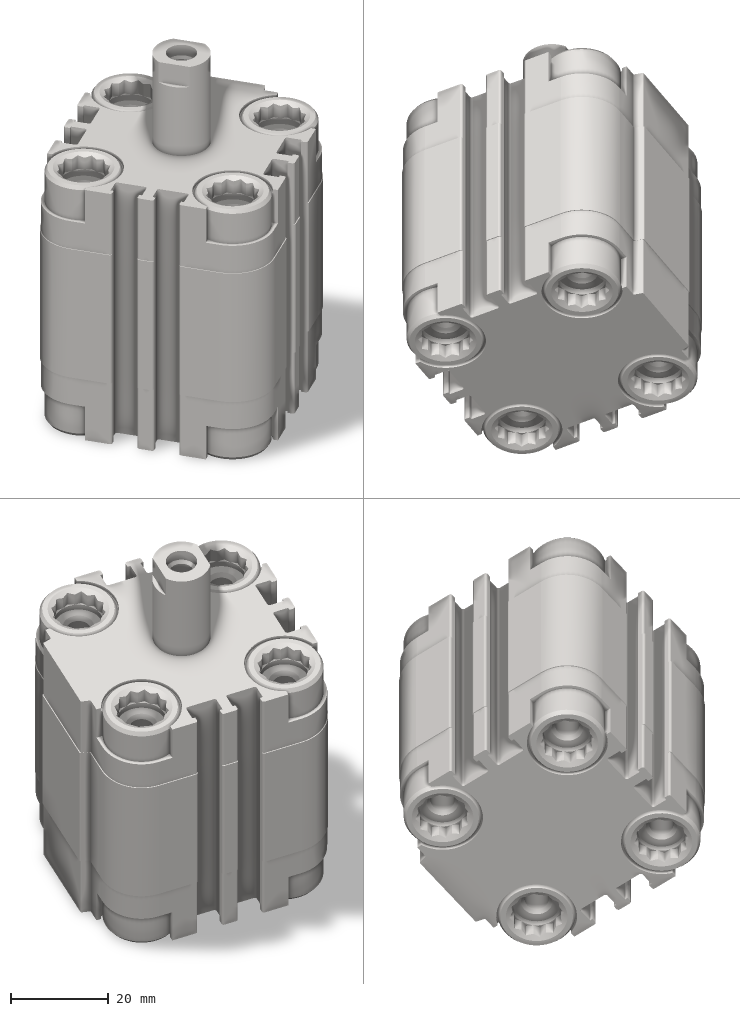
import cadquery as cq
import math


TUBE_WIDTH = 50.0
TUBE_HALF = TUBE_WIDTH / 2
COVER_INSET = 0.2
COVER_HALF = TUBE_HALF - COVER_INSET
HOUSING_HEIGHT = 59.5
COVER_HEIGHT = 14.5
TUBE_HEIGHT = HOUSING_HEIGHT - 2 * COVER_HEIGHT
SCREW_SPACING = 32.0
SCREW_OFFSET = SCREW_SPACING / 2
CORNER_CENTERS = [(sx * SCREW_OFFSET, sy * SCREW_OFFSET) for sx in (-1, 1) for sy in (-1, 1)]

RIB_WIDTH = 19.15
RIB_HEIGHT = 2.0
RIB_TAPER = 0.5
RIB_RADIUS = 0.3

SLOT_CENTER = 4.5
SLOT_INNER_WIDTH = 6.8
SLOT_MOUTH_WIDTH = 5.5
SLOT_DEPTH = 5.1
SLOT_LIP = 1.6
SLOT_RADIUS = 0.5
SLOT_FLOOR = TUBE_HALF - SLOT_DEPTH
SLOT_LIP_BACK = TUBE_HALF - SLOT_LIP
SLOT_SIDE_ANGLES = (0, 90, -90)

BOSS_DIAMETER = 16.0
BOSS_RADIUS = BOSS_DIAMETER / 2
BOSS_HEIGHT = 8.0
BOSS_CHAMFER_WIDTH = 0.6
BOSS_CHAMFER_HEIGHT = 0.8
GROOVE_DIAMETER = 16.6
GROOVE_RADIUS = GROOVE_DIAMETER / 2
RECESS_WIDTH = 12.0
RECESS_INNER = TUBE_HALF - RECESS_WIDTH

SOCKET_RIM_RADIUS = 12.6 / 2
SOCKET_POINTS = 12
SOCKET_BORE_RADIUS = 10.1 / 2
SOCKET_TIP_RADIUS = SOCKET_BORE_RADIUS * math.cos(math.pi / 12) / math.cos(math.pi / 6)
SOCKET_LEAD_IN = 0.7
SOCKET_POINT_DEPTH = 3.6
SOCKET_DEPTH = 5.0
SCREW_HOLE_DIAMETER = 4.9
SCREW_HOLE_RIM_DIAMETER = 6.4
SCREW_HOLE_COUNTERSINK = 0.8

ROD_DIAMETER = 12.0
TOTAL_HEIGHT = 80.5
ROD_BOTTOM = HOUSING_HEIGHT - COVER_HEIGHT
ROD_LENGTH = TOTAL_HEIGHT - ROD_BOTTOM
FLATS_WIDTH = 10.0
FLATS_HEIGHT = 4.75
ROD_RECESS_DIAMETER = 6.4
ROD_RECESS_DEPTH = 2.5
ROD_HOLE_DIAMETER = 4.9
ROD_HOLE_DEPTH = 16.1
LEAD_IN_ANGLE = 120.0
DRILL_POINT_ANGLE = 118.0


def cone_height(large_diameter, small_diameter, full_angle):
    return (large_diameter - small_diameter) / 2 / math.tan(math.radians(full_angle / 2))


def turned(profile):
    """Revolve a closed (radius, height) outline about the Z axis."""
    return cq.Workplane("XZ").polyline(profile).close().revolve(360, (0, 0, 0), (0, 1, 0))


def slot_cutter(half_width, height):
    """T-slot through the -Y side, with a rounded floor and rounded lips at the outer face."""
    inner = SLOT_INNER_WIDTH / 2
    mouth = SLOT_MOUTH_WIDTH / 2
    r = SLOT_RADIUS
    return (
        cq.Workplane("XY")
        .moveTo(-inner + r, -SLOT_FLOOR)
        .lineTo(inner - r, -SLOT_FLOOR)
        .radiusArc((inner, -SLOT_FLOOR - r), r)
        .lineTo(inner, -SLOT_LIP_BACK)
        .lineTo(mouth, -SLOT_LIP_BACK)
        .lineTo(mouth, -half_width + r)
        .radiusArc((mouth + r, -half_width), -r)
        .lineTo(-mouth - r, -half_width)
        .radiusArc((-mouth, -half_width + r), -r)
        .lineTo(-mouth, -SLOT_LIP_BACK)
        .lineTo(-inner, -SLOT_LIP_BACK)
        .lineTo(-inner, -SLOT_FLOOR - r)
        .radiusArc((-inner + r, -SLOT_FLOOR), r)
        .close()
        .extrude(height)
    )


def rib(half_width, height):
    """Tapered rib standing on the +Y side, rounded along its top edges."""
    half_top = RIB_WIDTH / 2
    half_root = half_top + RIB_TAPER
    top = half_width + RIB_HEIGHT
    return (
        cq.Workplane("XY")
        .polyline(
            [
                (-half_root, 0),
                (half_root, 0),
                (half_root, half_width),
                (half_top, top),
                (-half_top, top),
                (-half_root, half_width),
            ]
        )
        .close()
        .extrude(height)
        .edges("|Z and >Y")
        .fillet(RIB_RADIUS)
    )


def profile_bar(half_width, height):
    """Length of the housing profile with filleted rib roots, standing on the XY plane."""
    bar = (
        cq.Workplane("XY")
        .rect(2 * half_width, 2 * half_width)
        .extrude(height)
        .edges("|Z")
        .fillet(half_width - SCREW_OFFSET)
        .union(rib(half_width, height))
    )
    rib_root = (RIB_WIDTH / 2 + RIB_TAPER, half_width, height / 2)
    mirrored_root = (-rib_root[0], rib_root[1], rib_root[2])
    for point in (rib_root, mirrored_root):
        bar = bar.edges(cq.NearestToPointSelector(point)).fillet(RIB_RADIUS)
    cutter = slot_cutter(half_width, height)
    for angle in SLOT_SIDE_ANGLES:
        for offset in (-SLOT_CENTER, SLOT_CENTER):
            slot = cutter.translate((offset, 0, 0)).rotate((0, 0, 0), (0, 0, 1), angle)
            bar = bar.cut(slot)
    return bar


def corner_recess(x, y):
    """Clears the outer corner around a boss; z = 0 is the cover's outer face."""
    middle = (RECESS_INNER + TUBE_HALF) / 2
    block = (
        cq.Workplane("XY")
        .center(math.copysign(middle, x), math.copysign(middle, y))
        .rect(RECESS_WIDTH, RECESS_WIDTH)
        .extrude(-BOSS_HEIGHT)
    )
    boss = cq.Workplane("XY").center(x, y).circle(BOSS_RADIUS).extrude(-BOSS_HEIGHT)
    return block.cut(boss)


def rim_groove():
    """Ring that chamfers the top edge of a boss and clears the cover around the chamfer."""
    return turned(
        [
            (BOSS_RADIUS - BOSS_CHAMFER_WIDTH, 0),
            (GROOVE_RADIUS, 0),
            (GROOVE_RADIUS, -BOSS_CHAMFER_HEIGHT),
            (BOSS_RADIUS, -BOSS_CHAMFER_HEIGHT),
        ]
    )


def screw_socket():
    """Conical lead-in, twelve-point recess, round bore and countersink of one boss."""
    lead_in = turned(
        [
            (0, 0),
            (SOCKET_RIM_RADIUS, 0),
            (SOCKET_BORE_RADIUS, -SOCKET_LEAD_IN),
            (0, -SOCKET_LEAD_IN),
        ]
    )
    hexagon = (
        cq.Workplane("XY")
        .workplane(offset=-SOCKET_POINT_DEPTH)
        .polygon(SOCKET_POINTS // 2, 2 * SOCKET_TIP_RADIUS)
        .extrude(SOCKET_POINT_DEPTH)
    )
    points = hexagon.union(hexagon.rotate((0, 0, 0), (0, 0, 1), 360 / SOCKET_POINTS))
    bore = turned(
        [
            (0, 0),
            (SOCKET_BORE_RADIUS, 0),
            (SOCKET_BORE_RADIUS, -SOCKET_DEPTH),
            (SCREW_HOLE_RIM_DIAMETER / 2, -SOCKET_DEPTH),
            (SCREW_HOLE_DIAMETER / 2, -SOCKET_DEPTH - SCREW_HOLE_COUNTERSINK),
            (0, -SOCKET_DEPTH - SCREW_HOLE_COUNTERSINK),
        ]
    )
    return lead_in.union(points).union(bore)


def make_cover():
    """End length of the housing with its corner bosses, outer face up at z = 0."""
    cover = profile_bar(COVER_HALF, COVER_HEIGHT).translate((0, 0, -COVER_HEIGHT))
    groove = rim_groove()
    socket = screw_socket()
    for x, y in CORNER_CENTERS:
        cover = cover.cut(corner_recess(x, y))
        cover = cover.cut(groove.translate((x, y, 0)))
        cover = cover.cut(socket.translate((x, y, 0)))
    return cover


def make_housing():
    """One solid: tube length between two mirrored cover lengths, drilled for screws and rod."""
    cover = make_cover()
    top_cover = cover.translate((0, 0, HOUSING_HEIGHT))
    bottom_cover = cover.mirror("XY")
    tube = profile_bar(TUBE_HALF, TUBE_HEIGHT).translate((0, 0, COVER_HEIGHT))
    screw_holes = (
        cq.Workplane("XY")
        .pushPoints(CORNER_CENTERS)
        .circle(SCREW_HOLE_DIAMETER / 2)
        .extrude(HOUSING_HEIGHT)
    )
    rod_bore = (
        cq.Workplane("XY").workplane(offset=ROD_BOTTOM).circle(ROD_DIAMETER / 2).extrude(COVER_HEIGHT)
    )
    return tube.union(top_cover).union(bottom_cover).cut(screw_holes).cut(rod_bore)


def rod_end_hole():
    """Recessed, conically led-in blind hole with a drill point, opening at z = 0."""
    lead_in = cone_height(ROD_RECESS_DIAMETER, ROD_HOLE_DIAMETER, LEAD_IN_ANGLE)
    drill_point = cone_height(ROD_HOLE_DIAMETER, 0, DRILL_POINT_ANGLE)
    return turned(
        [
            (0, 0),
            (ROD_RECESS_DIAMETER / 2, 0),
            (ROD_RECESS_DIAMETER / 2, -ROD_RECESS_DEPTH),
            (ROD_HOLE_DIAMETER / 2, -ROD_RECESS_DEPTH - lead_in),
            (ROD_HOLE_DIAMETER / 2, -ROD_HOLE_DEPTH),
            (0, -ROD_HOLE_DEPTH - drill_point),
        ]
    )


def make_rod():
    """Round rod with two wrench flats facing -Y and +Y, and a hole in its end."""
    shank = cq.Workplane("XY").workplane(offset=ROD_BOTTOM).circle(ROD_DIAMETER / 2).extrude(ROD_LENGTH)
    flats = (
        cq.Workplane("XY")
        .workplane(offset=TOTAL_HEIGHT - FLATS_HEIGHT)
        .rect(ROD_DIAMETER, ROD_DIAMETER)
        .rect(ROD_DIAMETER, FLATS_WIDTH)
        .extrude(FLATS_HEIGHT)
    )
    return shank.cut(flats).cut(rod_end_hole().translate((0, 0, TOTAL_HEIGHT)))


housing = make_housing()
rod = make_rod()

result = cq.Compound.makeCompound([housing.val(), rod.val()])